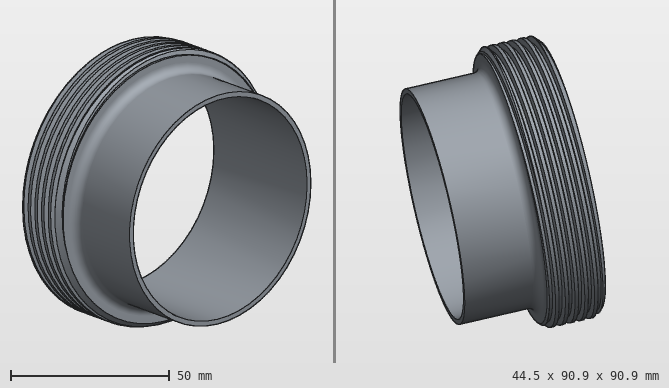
import cadquery as cq
import math

total_length = 44.5
bore_diameter = 72.9
tube_diameter = 76.2

collar_length = 19.1
root_diameter = 87.2
crest_diameter = 90.9
collar_fillet = 3.0

pitch = 3.2
crest_width = 1.2
flank_angle = 15.0
thread_phase = 2.7
root_overlap = 0.3
cutter_margin = 1.4

bore_radius = bore_diameter / 2
tube_radius = tube_diameter / 2
root_radius = root_diameter / 2
crest_radius = crest_diameter / 2
thread_depth = crest_radius - root_radius


def x_cylinder(radius, length):
    return cq.Workplane("YZ").circle(radius).extrude(length)


def thread_ridge():
    """Helical ridge that runs past both ends of the collar."""
    start = thread_phase - 2 * pitch
    turns = math.ceil((collar_length - start) / pitch) + 1
    inner_radius = root_radius - root_overlap
    flank_slope = math.tan(math.radians(flank_angle))
    half_crest = crest_width / 2
    half_base = half_crest + (thread_depth + root_overlap) * flank_slope

    helix = cq.Wire.makeHelix(pitch, turns * pitch, inner_radius)
    ridge = (
        cq.Workplane("XZ")
        .moveTo(inner_radius, -half_base)
        .lineTo(crest_radius, -half_crest)
        .lineTo(crest_radius, half_crest)
        .lineTo(inner_radius, half_base)
        .close()
        .sweep(cq.Workplane(obj=helix), isFrenet=True)
    )
    return ridge.rotate((0, 0, 0), (0, 1, 0), 90).translate((start, 0, 0))


def chamfer_cutter(end_x, inward):
    """Ring outside a 45 degree cone that meets the thread root at end_x."""
    height = thread_depth + cutter_margin
    outer_x = end_x - inward * cutter_margin
    inner_x = end_x + inward * height
    return (
        cq.Workplane("XY")
        .moveTo(outer_x, root_radius - cutter_margin)
        .lineTo(inner_x, root_radius + height)
        .lineTo(outer_x, root_radius + height)
        .close()
        .revolve(360, (0, 0, 0), (1, 0, 0))
    )


def thread():
    """Ridge trimmed to the collar length and chamfered at both ends."""
    ridge = thread_ridge().intersect(x_cylinder(crest_radius + cutter_margin, collar_length))
    ridge = ridge.cut(chamfer_cutter(0, 1))
    return ridge.cut(chamfer_cutter(collar_length, -1))


def body():
    """Collar core and tube, joined by a concave fillet."""
    tube_start = collar_length + collar_fillet
    arc_offset = collar_fillet * math.sqrt(0.5)
    return (
        cq.Workplane("XY")
        .lineTo(0, root_radius)
        .lineTo(collar_length, root_radius)
        .lineTo(collar_length, tube_radius + collar_fillet)
        .threePointArc(
            (tube_start - arc_offset, tube_radius + collar_fillet - arc_offset),
            (tube_start, tube_radius),
        )
        .lineTo(total_length, tube_radius)
        .lineTo(total_length, 0)
        .close()
        .revolve(360, (0, 0, 0), (1, 0, 0))
    )


bore = x_cylinder(bore_radius, total_length)
result = body().union(thread()).cut(bore)